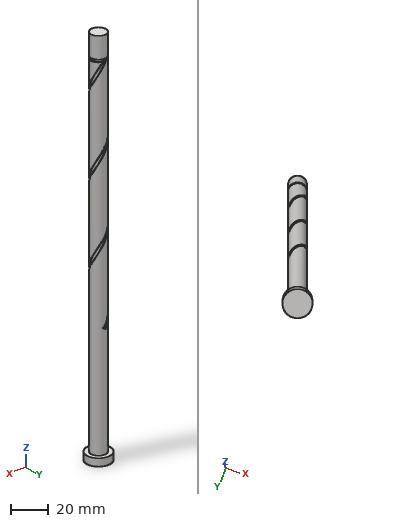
import cadquery as cq

total_length = 254.0
head_diameter = 16.0
head_height = 5.0
shaft_diameter = 10.2
shaft_radius = shaft_diameter / 2

ring_groove_width = 1.5
ring_groove_depth = 0.8
ring_groove_top = total_length - 14.2

helix_pitch = 52.8
helix_turns = 3
helix_groove_width = 1.8
helix_groove_depth = 0.8
helix_start_angle = 90.0
helix_rise = helix_pitch * helix_turns
helix_start = ring_groove_top - ring_groove_width - helix_rise
cutter_overhang = 0.5


def make_pin():
    """Round shaft standing on a wider disc head."""
    head = cq.Workplane("XY").circle(head_diameter / 2).extrude(head_height)
    shaft = cq.Workplane("XY").circle(shaft_radius).extrude(total_length)
    return head.union(shaft)


def make_ring_cutter():
    """Flat ring that cuts the annular groove."""
    return (
        cq.Workplane("XY")
        .workplane(offset=ring_groove_top - ring_groove_width)
        .circle(shaft_radius + cutter_overhang)
        .circle(shaft_radius - ring_groove_depth)
        .extrude(ring_groove_width)
    )


def make_helix_cutter():
    """Rectangular section, square to the helix, swept from the +Y side."""
    path = cq.Wire.makeHelix(helix_pitch, helix_rise, shaft_radius)
    section_plane = cq.Plane(
        origin=path.startPoint(), xDir=(1, 0, 0), normal=path.tangentAt(0)
    )
    section_depth = helix_groove_depth + cutter_overhang
    section_center = (cutter_overhang - helix_groove_depth) / 2
    cutter = (
        cq.Workplane(section_plane)
        .center(section_center, 0)
        .rect(section_depth, helix_groove_width)
        .sweep(cq.Workplane(obj=path), isFrenet=True)
    )
    return cutter.rotate((0, 0, 0), (0, 0, 1), helix_start_angle).translate((0, 0, helix_start))


result = make_pin().cut(make_ring_cutter()).cut(make_helix_cutter())